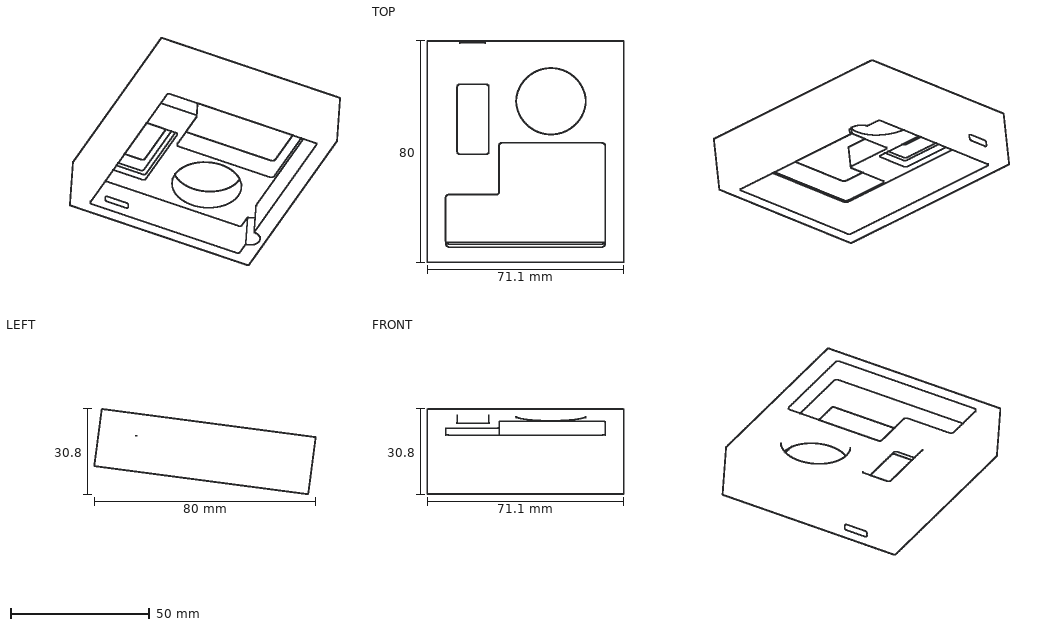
import cadquery as cq
width = 71.1
length = 78.0
height = 20.9
tilt = 7.5
outer_radius = 0.4

top_thickness = 8.0
side_wall = 5.9
end_wall = 4.65
cavity_corner_radius = 0.8
cavity_width = width - 2 * side_wall
cavity_length = length - 2 * end_wall
cavity_depth = height - top_thickness

niche_radius = 3.7
niche_center = (cavity_width / 2, 63.8)

window_half_width = 28.8
window_front = 5.6
window_back = 43.5
step_x = -9.5
step_y = 24.7
window_corner_radius = 1.3
step_corner_radius = 1.0

rim_radius = 0.4
round_diameter = 25.1
round_center = (9.2, 58.2)
slot_width = 11.4
slot_length = 26.1
slot_center = (-19.0, 51.8)
slot_corner_radius = 1.0

slot_thickness = 5.45
slot_pocket_margin = 1.6

port_width = 9.1
port_height = 2.4
port_corner_radius = 0.8
port_center = (-19.1, 4.8)


def rounded_box(size_x, size_y, size_z, radius):
    """Box standing on the XY plane, centred in X and Y, with rounded upright edges."""
    box = cq.Workplane("XY").box(size_x, size_y, size_z, centered=(True, True, False))
    return box.edges("|Z").fillet(radius)


def make_block():
    """Rounded block centred in X, with its front face at Y = 0 and its bottom at Z = 0."""
    block = cq.Workplane("XY").box(width, length, height, centered=(True, False, False))
    return block.edges().fillet(outer_radius)


def make_cavity():
    """Hollow underside with the round niche in its right wall."""
    cavity = rounded_box(cavity_width, cavity_length, cavity_depth, cavity_corner_radius)
    cavity = cavity.translate((0, length / 2, 0))
    niche = cq.Workplane("XY").center(*niche_center).circle(niche_radius).extrude(cavity_depth)
    return cavity.union(niche)


def make_window():
    """Stepped opening with rounded corners."""
    corners = [
        (-window_half_width, window_front),
        (window_half_width, window_front),
        (window_half_width, window_back),
        (step_x, window_back),
        (step_x, step_y),
        (-window_half_width, step_y),
    ]
    window = cq.Workplane("XY").polyline(corners).close().extrude(height)
    for x, y in corners:
        radius = step_corner_radius if x == step_x else window_corner_radius
        corner_edge = cq.selectors.NearestToPointSelector((x, y, height / 2))
        window = window.edges("|Z").edges(corner_edge).fillet(radius)
    return window


def make_slot():
    """Rectangular slot through the full height."""
    slot = rounded_box(slot_width, slot_length, height, slot_corner_radius)
    return slot.translate((*slot_center, 0))


def make_slot_pocket():
    """Pocket around the slot, rising from the cavity into the top."""
    pocket = rounded_box(
        slot_width + 2 * slot_pocket_margin,
        slot_length + 2 * slot_pocket_margin,
        height - slot_thickness,
        cavity_corner_radius,
    )
    return pocket.translate((*slot_center, 0))


def make_port():
    """Opening through the back wall with rounded corners."""
    port_x, port_z = port_center
    port = cq.Workplane("XY").box(port_width, 2 * end_wall, port_height)
    return port.edges("|Y").fillet(port_corner_radius).translate((port_x, length, port_z))


def round_rim(solid, edge_center):
    """Round the top edge centred at the given X and Y, along with the edges tangent to it."""
    rim_edge = cq.selectors.NearestToPointSelector((*edge_center, height))
    return solid.edges(rim_edge).fillet(rim_radius)


body = make_block().cut(make_cavity()).cut(make_slot_pocket()).cut(make_window()).cut(make_port())

round_hole = cq.Workplane("XY").center(*round_center).circle(round_diameter / 2).extrude(height)
body = body.cut(round_hole).cut(make_slot())
body = round_rim(body, round_center)
body = round_rim(body, (slot_center[0] + slot_width / 2, slot_center[1]))

tilted = body.rotate((0, 0, 0), (1, 0, 0), tilt)
bounds = tilted.val().BoundingBox()
result = tilted.translate((0, -bounds.center.y, -bounds.center.z))